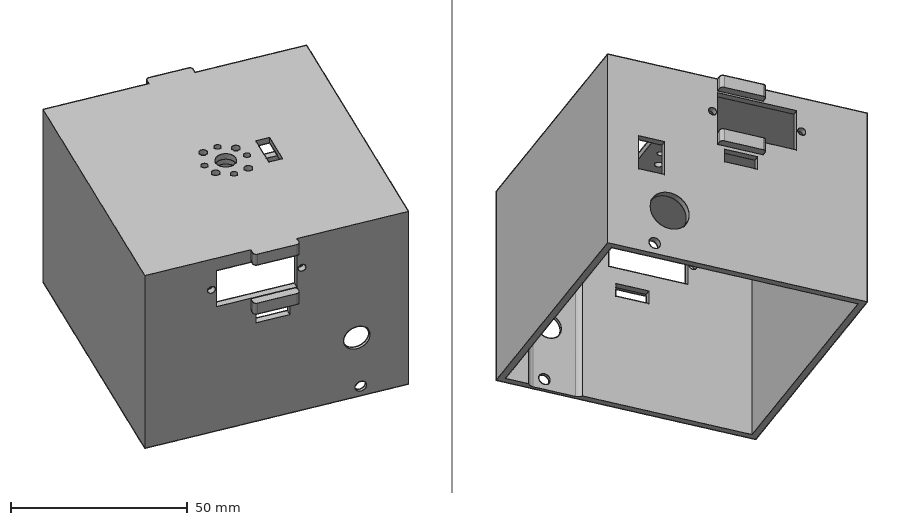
import cadquery as cq
import math

overall_length = 85.0
box_side = 80.0
box_height = 63.0
wall = 2.0
half_side = box_side / 2
inner_half = half_side - wall

lug_reach = (overall_length - box_side) / 2
lug_width = 14.0
lug_height = 4.0
lug_y = -0.85
lug_corner_radius = 1.0
lower_lug_top = 45.1

window_width = 24.3
window_height = 13.1
window_y = -6.0
window_z = 51.85
servo_screw_diameter = 2.4
servo_screw_spacing = 27.45

slot_length = 10.2
slot_width = 4.2
side_slot_y = -1.1
side_slot_z = 38.0
top_slot_y = 13.2

switch_width = 8.0
switch_height = 11.0
switch_y = 26.4
switch_z = 32.55
jack_diameter = 12.0
jack_y = 20.9
jack_z = 15.4

cable_diameter = 3.5
cable_y = 25.5
cable_z = 3.5

far_hole_diameter = 8.0
far_hole_y = 24.3
far_hole_z = 21.5
channel_flat_width = 13.0
channel_y = 22.5
channel_depth = 1.0
channel_corner_radius = 2.0

shaft_diameter = 6.0
collar_bore = 8.0
collar_wall = 1.0
collar_length = 2.55

small_screw_diameter = 2.0
small_screw_circle_radius = 6.5
large_screw_diameter = 2.5
large_screw_y = 4.7
large_screw_near_x = 4.2
large_screw_far_x = 5.6


def wall_hole(side, y, z, diameter):
    """Round cutter along X through the wall on the given side (-1 or +1)."""
    hole = cq.Workplane("YZ").center(y, z).circle(diameter / 2).extrude(2 * wall)
    return hole.translate((side * (half_side - wall / 2) - wall, 0, 0))


def wall_window(side, y, z, width, height):
    """Rectangular cutter along X through the wall on the given side."""
    block = cq.Workplane("XY").box(2 * wall, width, height)
    return block.translate((side * (half_side - wall / 2), y, z))


def lug(side, top):
    """Clip lug with its two outer upright edges rounded."""
    length = lug_reach + wall / 2
    block = cq.Workplane("XY").box(length, lug_width, lug_height)
    outer_face = ">X" if side > 0 else "<X"
    block = block.faces(outer_face).edges("|Z").fillet(lug_corner_radius)
    return block.translate((side * (overall_length - length) / 2, lug_y, top - lug_height / 2))


def wall_channel():
    """Full-height channel inside the +X wall: a flat floor with an arc along each side."""
    floor_x = inner_half + channel_depth
    flat_half = channel_flat_width / 2
    arc_angle = math.acos(1 - channel_depth / channel_corner_radius)
    mouth_half = flat_half + channel_corner_radius * math.sin(arc_angle)
    middle_half = flat_half + channel_corner_radius * math.sin(arc_angle / 2)
    middle_x = floor_x - channel_corner_radius * (1 - math.cos(arc_angle / 2))
    return (
        cq.Workplane("XY")
        .moveTo(inner_half, channel_y - mouth_half)
        .threePointArc((middle_x, channel_y - middle_half), (floor_x, channel_y - flat_half))
        .lineTo(floor_x, channel_y + flat_half)
        .threePointArc((middle_x, channel_y + middle_half), (inner_half, channel_y + mouth_half))
        .close()
        .extrude(box_height - wall)
    )


body = cq.Workplane("XY").rect(box_side, box_side).extrude(box_height)
body = body.cut(cq.Workplane("XY").rect(2 * inner_half, 2 * inner_half).extrude(box_height - wall))
collar_top = box_height - wall
collar_profile = cq.Workplane("XY").circle(collar_bore / 2 + collar_wall).circle(collar_bore / 2)
collar = collar_profile.extrude(collar_length)
body = body.union(collar.translate((0, 0, collar_top - collar_length)))
for side in (-1, 1):
    for lug_top in (box_height, lower_lug_top):
        body = body.union(lug(side, lug_top))

for side in (-1, 1):
    body = body.cut(wall_window(side, window_y, window_z, window_width, window_height))
    body = body.cut(wall_window(side, side_slot_y, side_slot_z, slot_length, slot_width))
    body = body.cut(wall_hole(side, cable_y, cable_z, cable_diameter))
    for direction in (-1, 1):
        screw_y = window_y + direction * servo_screw_spacing / 2
        body = body.cut(wall_hole(side, screw_y, window_z, servo_screw_diameter))

body = body.cut(wall_window(-1, switch_y, switch_z, switch_width, switch_height))
body = body.cut(wall_hole(-1, jack_y, jack_z, jack_diameter))
body = body.cut(wall_channel())
body = body.cut(wall_hole(1, far_hole_y, far_hole_z, far_hole_diameter))

small_screws = cq.Workplane("XY").polarArray(small_screw_circle_radius, 0, 360, 4)
large_screws = cq.Workplane("XY").pushPoints([
    (-large_screw_near_x, large_screw_y),
    (large_screw_far_x, large_screw_y),
    (large_screw_near_x, -large_screw_y),
    (-large_screw_far_x, -large_screw_y),
])
top_cutters = [
    cq.Workplane("XY").circle(shaft_diameter / 2),
    cq.Workplane("XY").center(0, top_slot_y).rect(slot_length, slot_width),
    small_screws.circle(small_screw_diameter / 2),
    large_screws.circle(large_screw_diameter / 2),
]
for cutter in top_cutters:
    body = body.cut(cutter.extrude(box_height))

result = body